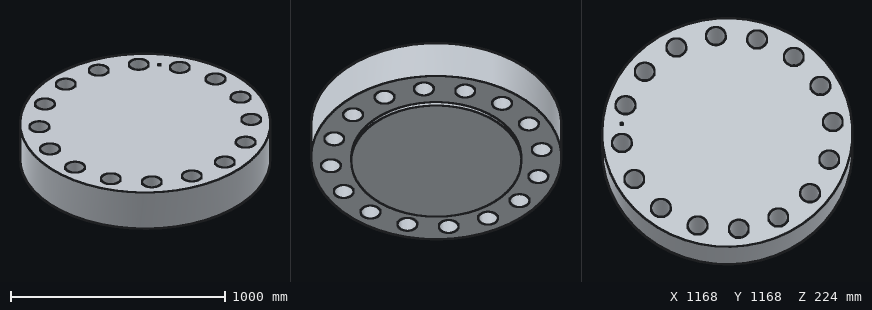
import cadquery as cq
import math

flange_diameter = 1168.0
total_height = 224.0
face_diameter = 794.0
face_height = 21.0
flange_thickness = total_height - face_height

bolt_count = 16
bolt_circle_diameter = 989.0
bolt_hole_diameter = 92.0
bolt_pitch_angle = 360.0 / bolt_count

small_hole_diameter = 7.0
small_hole_rim_diameter = 12.0
small_hole_rim_angle = 90.0
small_hole_depth = 23.0
small_hole_position_angle = math.radians(90.0 + bolt_pitch_angle / 2)


def make_body():
    """Flange disc standing on its raised face, which rests on Z = 0."""
    raised_face = cq.Workplane("XY").circle(face_diameter / 2).extrude(face_height)
    flange = (
        cq.Workplane("XY")
        .workplane(offset=face_height)
        .circle(flange_diameter / 2)
        .extrude(flange_thickness)
    )
    return flange.union(raised_face)


def cut_bolt_holes(body):
    """Drill the ring of through holes from the top of the flange."""
    return (
        body.faces(">Z")
        .workplane(origin=(0, 0, total_height))
        .polarArray(bolt_circle_diameter / 2, 0, 360, bolt_count)
        .hole(bolt_hole_diameter)
    )


def cut_small_hole(body):
    """Drill the small countersunk blind hole on the bolt circle."""
    bolt_circle_radius = bolt_circle_diameter / 2
    x = bolt_circle_radius * math.cos(small_hole_position_angle)
    y = bolt_circle_radius * math.sin(small_hole_position_angle)
    return (
        body.faces(">Z")
        .workplane(origin=(0, 0, total_height))
        .center(x, y)
        .cskHole(small_hole_diameter, small_hole_rim_diameter, small_hole_rim_angle, small_hole_depth)
    )


result = cut_small_hole(cut_bolt_holes(make_body()))